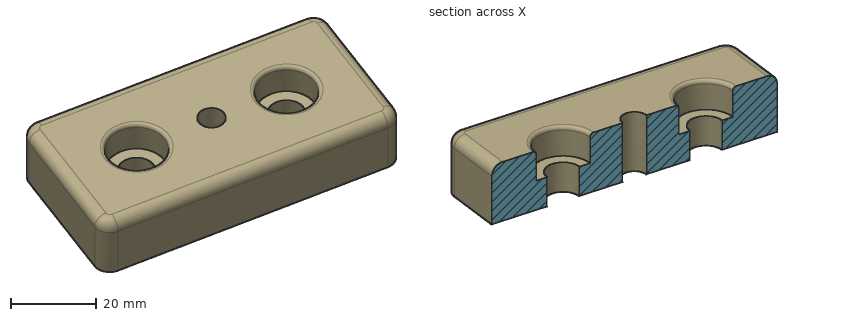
import cadquery as cq

width = 40.0
length = 80.0
height = 16.0
corner_radius = 4.0
top_edge_radius = 3.0

screw_spacing = 40.0
screw_diameter = 9.0
counterbore_diameter = 15.0
counterbore_depth = 8.0
counterbore_rim_radius = 1.0

center_hole_diameter = 6.65


def rounded_block():
    """Block standing on Z = 0 with rounded corners and a rounded top edge."""
    block = cq.Workplane("XY").box(width, length, height, centered=(True, True, False))
    block = block.edges("|Z").fillet(corner_radius)
    return block.faces(">Z").edges().fillet(top_edge_radius)


def screw_hole_cutter(y):
    """Through hole and counterbore at (0, y), flaring out at the top through a convex rim."""
    through = cq.Workplane("XY").center(0, y).circle(screw_diameter / 2).extrude(height)

    wall_radius = counterbore_diameter / 2
    floor_z = height - counterbore_depth
    rim_z = height - counterbore_rim_radius
    arc_offset = counterbore_rim_radius * (1 - 0.5 ** 0.5)
    counterbore = (
        cq.Workplane("XZ")
        .moveTo(0, floor_z)
        .lineTo(wall_radius, floor_z)
        .lineTo(wall_radius, rim_z)
        .threePointArc(
            (wall_radius + arc_offset, height - arc_offset),
            (wall_radius + counterbore_rim_radius, height),
        )
        .lineTo(0, height)
        .close()
        .revolve(360, (0, 0), (0, 1))
        .translate((0, y, 0))
    )
    return through.union(counterbore)


def center_hole_cutter():
    """Plain through hole on the block's vertical axis."""
    return cq.Workplane("XY").circle(center_hole_diameter / 2).extrude(height)


result = rounded_block().cut(center_hole_cutter())
for screw_y in (-screw_spacing / 2, screw_spacing / 2):
    result = result.cut(screw_hole_cutter(screw_y))